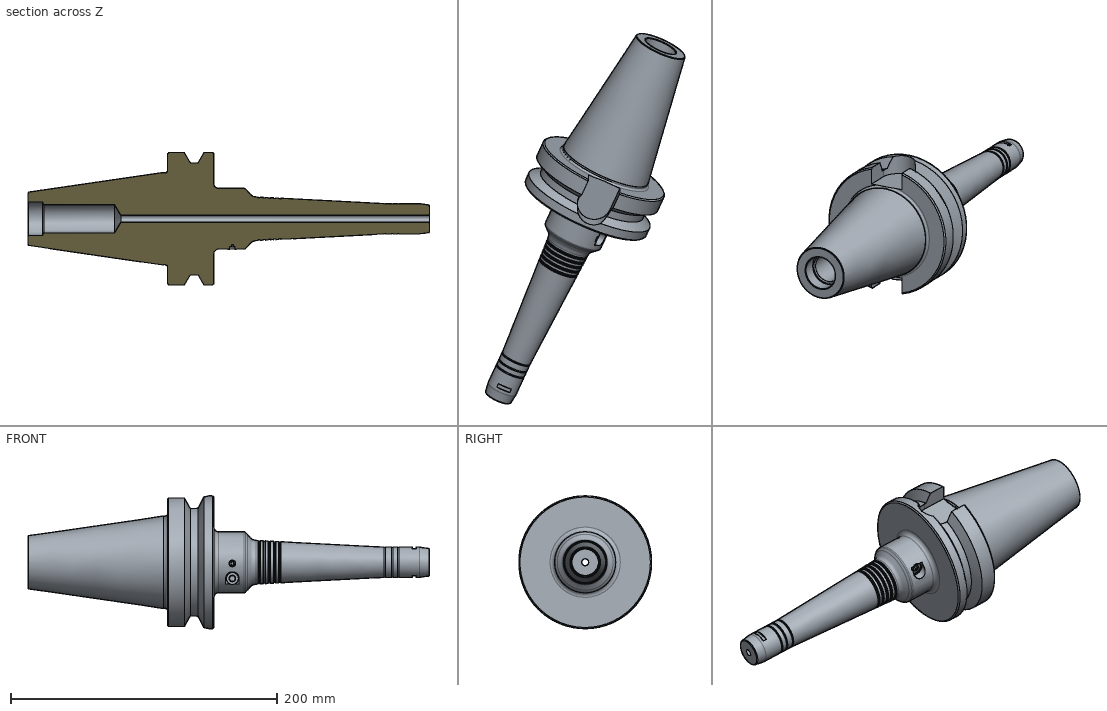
import cadquery as cq
import math


GAUGE_RADIUS = 69.85 / 2
TAPER_LENGTH = 101.8
TAPER_SLOPE = 7 / 48
TAIL_RADIUS = GAUGE_RADIUS - TAPER_LENGTH * TAPER_SLOPE
TAIL_CHAMFER = 0.5

FLANGE_BACK = 3.0
FLANGE_FRONT = 38.0
FLANGE_RADIUS = 50.0
FLANGE_CHAMFER = 1.0
FLANGE_BACK_FILLET = 1.7
NECK_STEP = 0.2
NECK_RADIUS = GAUGE_RADIUS - NECK_STEP
GROOVE_CENTRE = 23.1
GROOVE_FLOOR_RADIUS = 42.4
GROOVE_FLOOR_HALF = 2.9
GROOVE_HALF_ANGLE = math.radians(30)
GROOVE_DEPTH = FLANGE_RADIUS - GROOVE_FLOOR_RADIUS
GROOVE_MOUTH_HALF = GROOVE_FLOOR_HALF + GROOVE_DEPTH * math.tan(GROOVE_HALF_ANGLE)

KEYWAY_WIDTH = 25.7
KEYWAY_FLOOR = 35.4
KEYWAY_END = 34.2

HUB_RADIUS = 23.0
HUB_FILLET = 3.4
HUB_END = 60.5
HUB_ROUNDING = 1.5
HUB_CHAMFER_END = 63.1
BLEND_END = 69.5

NOSE_END = 200.0
NOSE_RADIUS = 11.5
NOSE_TAPER_END = 166.0
NOSE_TAPER_SLOPE = math.tan(math.radians(3))
TIP_START = 192.3
TIP_RADIUS = 10.5
TIP_CHAMFER = 0.6

ROOT_GROOVE_COUNT = 5
ROOT_GROOVE_START = 71.9
ROOT_GROOVE_PITCH = 3.9
ROOT_GROOVE_WIDTH = ROOT_GROOVE_PITCH / 2
ROOT_GROOVE_FLOOR = 0.8
ROOT_GROOVE_DEPTH = 0.5
MARK_POSITIONS = (166.3, 172.0, 176.6)
MARK_WIDTH = 1.0
MARK_DEPTH = 0.3

FLAT_START = 187.0
FLAT_WIDTH = 2.9
FLAT_HEIGHT = 10.2

MOUTH_RADIUS = 12.5
MOUTH_CHAMFER = 0.5
MOUTH_DEPTH = 11.0
THREAD_RADIUS = 10.5
THREAD_CHAMFER = 1.0
THREAD_DEPTH = 65.0
COOLANT_RADIUS = 2.5
DRILL_POINT_SLOPE = math.tan(math.radians(118 / 2))

SCREW_X = 51.8
POCKET_WIDTH = 10.0
POCKET_FLOOR = 16.0
SCREW_OFFSET = 12.2
COUNTERBORE_DIAMETER = 9.0
COUNTERBORE_DEPTH = 1.0
SCREW_HOLE_DIAMETER = 5.0
SCREW_HOLE_DEPTH = 1.0
HEX_ACROSS_CORNERS = 4.62
HEX_DEPTH = 3.0
BLEED_Z = -0.9
BLEED_MOUTH_DIAMETER = 5.0
BLEED_MOUTH_DEPTH = 0.5
BLEED_DIAMETER = 4.1
BLEED_DEPTH = 2.0
BLEED_HEX_ACROSS_CORNERS = 2.31
BLEED_HEX_DEPTH = 1.5


def nose_radius(x):
    """Radius of the tapered nose at position x."""
    return NOSE_RADIUS + (NOSE_TAPER_END - x) * NOSE_TAPER_SLOPE


def outer_body():
    """Solid of revolution from the tail of the shank to the tip of the nose."""
    blend_radius = nose_radius(BLEND_END)
    diagonal = math.sqrt(0.5)
    rounding_end_x = HUB_END + HUB_ROUNDING * diagonal
    rounding_end_radius = HUB_RADIUS - HUB_ROUNDING * (1 - diagonal)
    chamfer_end_radius = rounding_end_radius - (HUB_CHAMFER_END - rounding_end_x)
    profile = (
        cq.Workplane("XY")
        .moveTo(-TAPER_LENGTH, 0)
        .lineTo(-TAPER_LENGTH, TAIL_RADIUS - TAIL_CHAMFER)
        .lineTo(-TAPER_LENGTH + TAIL_CHAMFER, TAIL_RADIUS + TAIL_CHAMFER * TAPER_SLOPE)
        .lineTo(0, GAUGE_RADIUS)
        .lineTo(0, NECK_RADIUS)
        .lineTo(FLANGE_BACK - FLANGE_BACK_FILLET, NECK_RADIUS)
        .radiusArc((FLANGE_BACK, NECK_RADIUS + FLANGE_BACK_FILLET), -FLANGE_BACK_FILLET)
        .lineTo(FLANGE_BACK, FLANGE_RADIUS - FLANGE_CHAMFER)
        .lineTo(FLANGE_BACK + FLANGE_CHAMFER, FLANGE_RADIUS)
        .lineTo(GROOVE_CENTRE - GROOVE_MOUTH_HALF, FLANGE_RADIUS)
        .lineTo(GROOVE_CENTRE - GROOVE_FLOOR_HALF, GROOVE_FLOOR_RADIUS)
        .lineTo(GROOVE_CENTRE + GROOVE_FLOOR_HALF, GROOVE_FLOOR_RADIUS)
        .lineTo(GROOVE_CENTRE + GROOVE_MOUTH_HALF, FLANGE_RADIUS)
        .lineTo(FLANGE_FRONT - FLANGE_CHAMFER, FLANGE_RADIUS)
        .lineTo(FLANGE_FRONT, FLANGE_RADIUS - FLANGE_CHAMFER)
        .lineTo(FLANGE_FRONT, HUB_RADIUS + HUB_FILLET)
        .radiusArc((FLANGE_FRONT + HUB_FILLET, HUB_RADIUS), -HUB_FILLET)
        .lineTo(HUB_END, HUB_RADIUS)
        .radiusArc((rounding_end_x, rounding_end_radius), HUB_ROUNDING)
        .lineTo(HUB_CHAMFER_END, chamfer_end_radius)
        .spline(
            [(BLEND_END, blend_radius)],
            tangents=[(1, -1), (1, -NOSE_TAPER_SLOPE)],
            includeCurrent=True,
        )
        .lineTo(NOSE_TAPER_END, NOSE_RADIUS)
        .lineTo(TIP_START, NOSE_RADIUS)
        .lineTo(NOSE_END - TIP_CHAMFER, TIP_RADIUS)
        .lineTo(NOSE_END, TIP_RADIUS - TIP_CHAMFER)
        .lineTo(NOSE_END, 0)
        .close()
    )
    return profile.revolve(360, (0, 0, 0), (1, 0, 0))


def axial_bore():
    """Stepped bore, open at the tail and at the tip."""
    cone_end = THREAD_DEPTH + (THREAD_RADIUS - COOLANT_RADIUS) / DRILL_POINT_SLOPE
    tail = -TAPER_LENGTH
    profile = (
        cq.Workplane("XY")
        .moveTo(tail, 0)
        .lineTo(tail, MOUTH_RADIUS + MOUTH_CHAMFER)
        .lineTo(tail + MOUTH_CHAMFER, MOUTH_RADIUS)
        .lineTo(tail + MOUTH_DEPTH, MOUTH_RADIUS)
        .lineTo(tail + MOUTH_DEPTH, THREAD_RADIUS + THREAD_CHAMFER)
        .lineTo(tail + MOUTH_DEPTH + THREAD_CHAMFER, THREAD_RADIUS)
        .lineTo(tail + THREAD_DEPTH, THREAD_RADIUS)
        .lineTo(tail + cone_end, COOLANT_RADIUS)
        .lineTo(NOSE_END, COOLANT_RADIUS)
        .lineTo(NOSE_END, 0)
        .close()
    )
    return profile.revolve(360, (0, 0, 0), (1, 0, 0))


def ring_groove(centre, mouth_width, floor_width, surface_radius, depth):
    """Ring groove with sloping or straight walls, cut into a surface of the given radius."""
    clear_radius = surface_radius + mouth_width
    profile = (
        cq.Workplane("XY")
        .moveTo(centre - mouth_width / 2, clear_radius)
        .lineTo(centre - mouth_width / 2, surface_radius)
        .lineTo(centre - floor_width / 2, surface_radius - depth)
        .lineTo(centre + floor_width / 2, surface_radius - depth)
        .lineTo(centre + mouth_width / 2, surface_radius)
        .lineTo(centre + mouth_width / 2, clear_radius)
        .close()
    )
    return profile.revolve(360, (0, 0, 0), (1, 0, 0))


def keyway():
    """Round-ended drive keyway on the +Z side, open towards the shank."""
    end_radius = KEYWAY_WIDTH / 2
    return (
        cq.Workplane("XY")
        .workplane(offset=KEYWAY_FLOOR)
        .moveTo(0, -end_radius)
        .lineTo(KEYWAY_END - end_radius, -end_radius)
        .threePointArc((KEYWAY_END, 0), (KEYWAY_END - end_radius, end_radius))
        .lineTo(0, end_radius)
        .close()
        .extrude(FLANGE_RADIUS)
    )


def spanner_flat():
    """Slot with a flat floor across the +Z side of the nose."""
    slot = cq.Workplane("XY").box(FLAT_WIDTH, 2 * NOSE_RADIUS, NOSE_RADIUS, centered=(False, True, False))
    return slot.translate((FLAT_START, 0, FLAT_HEIGHT))


def screw_pocket():
    """U-shaped pocket on the -Y side, open towards -Z, with a recessed hexagon socket in its floor."""
    half = POCKET_WIDTH / 2
    pocket = (
        cq.Workplane("XZ")
        .workplane(offset=POCKET_FLOOR)
        .moveTo(SCREW_X - half, -HUB_RADIUS)
        .lineTo(SCREW_X - half, -SCREW_OFFSET)
        .threePointArc((SCREW_X, half - SCREW_OFFSET), (SCREW_X + half, -SCREW_OFFSET))
        .lineTo(SCREW_X + half, -HUB_RADIUS)
        .close()
        .extrude(HUB_RADIUS)
    )
    floor = cq.Workplane("XZ").workplane(offset=POCKET_FLOOR).center(SCREW_X, -SCREW_OFFSET)
    counterbore = floor.circle(COUNTERBORE_DIAMETER / 2).extrude(-COUNTERBORE_DEPTH)
    seat = floor.workplane(offset=-COUNTERBORE_DEPTH)
    hole = seat.circle(SCREW_HOLE_DIAMETER / 2).extrude(-SCREW_HOLE_DEPTH)
    screw_face = seat.workplane(offset=-SCREW_HOLE_DEPTH)
    socket = screw_face.polygon(6, HEX_ACROSS_CORNERS).extrude(-HEX_DEPTH)
    return pocket.union(counterbore).union(hole).union(socket)


def bleed_screw():
    """Bleed screw hole on the -Y side: a shallow mouth, the hole and a hexagon socket."""
    surface = cq.Workplane("XZ").workplane(offset=HUB_RADIUS).center(SCREW_X, BLEED_Z)
    mouth = surface.circle(BLEED_MOUTH_DIAMETER / 2).extrude(-BLEED_MOUTH_DEPTH)
    hole = surface.circle(BLEED_DIAMETER / 2).extrude(-BLEED_DEPTH)
    screw_face = surface.workplane(offset=-BLEED_DEPTH)
    socket = screw_face.polygon(6, BLEED_HEX_ACROSS_CORNERS).extrude(-BLEED_HEX_DEPTH)
    return mouth.union(hole).union(socket)


def on_both_sides(part, cutter):
    """Cut the part with the cutter and with its copy half a turn about the X axis."""
    return part.cut(cutter).cut(cutter.rotate((0, 0, 0), (1, 0, 0), 180))


result = outer_body().cut(axial_bore())
result = on_both_sides(result, keyway())
result = on_both_sides(result, spanner_flat())
result = on_both_sides(result, screw_pocket())
result = result.cut(bleed_screw())
for i in range(ROOT_GROOVE_COUNT):
    x = ROOT_GROOVE_START + i * ROOT_GROOVE_PITCH
    groove = ring_groove(x, ROOT_GROOVE_WIDTH, ROOT_GROOVE_FLOOR, nose_radius(x), ROOT_GROOVE_DEPTH)
    result = result.cut(groove)
for x in MARK_POSITIONS:
    result = result.cut(ring_groove(x, MARK_WIDTH, MARK_WIDTH, NOSE_RADIUS, MARK_DEPTH))